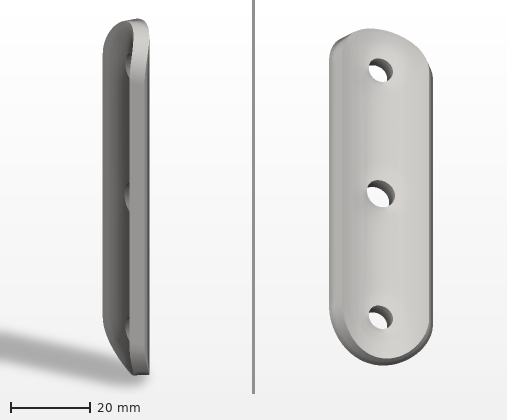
import cadquery as cq

length = 93.0
inner_radius = 20.6
thickness = 4.0
end_radius = 11.7
end_hole_diameter = 6.5
center_hole_diameter = 7.5
hole_spacing = 35.0

outer_radius = inner_radius + thickness
cut_depth = 2 * outer_radius


def concave_face():
    """Slot-shaped patch of the inner cylinder, whose axis is Z."""
    cylinder = cq.Workplane("XY").circle(inner_radius).extrude(length / 2, both=True)
    slot = cq.Workplane("XZ").slot2D(length, 2 * end_radius, 90).extrude(-cut_depth)
    return cylinder.intersect(slot).faces(">Y").val()


def hole(z, diameter):
    """Round cutter along Y through the curved wall."""
    return cq.Workplane("XZ").center(0, z).circle(diameter / 2).extrude(-cut_depth)


plate = cq.Workplane(concave_face().thicken(thickness))

for z in (-hole_spacing, hole_spacing):
    plate = plate.cut(hole(z, end_hole_diameter))

result = plate.cut(hole(0, center_hole_diameter))